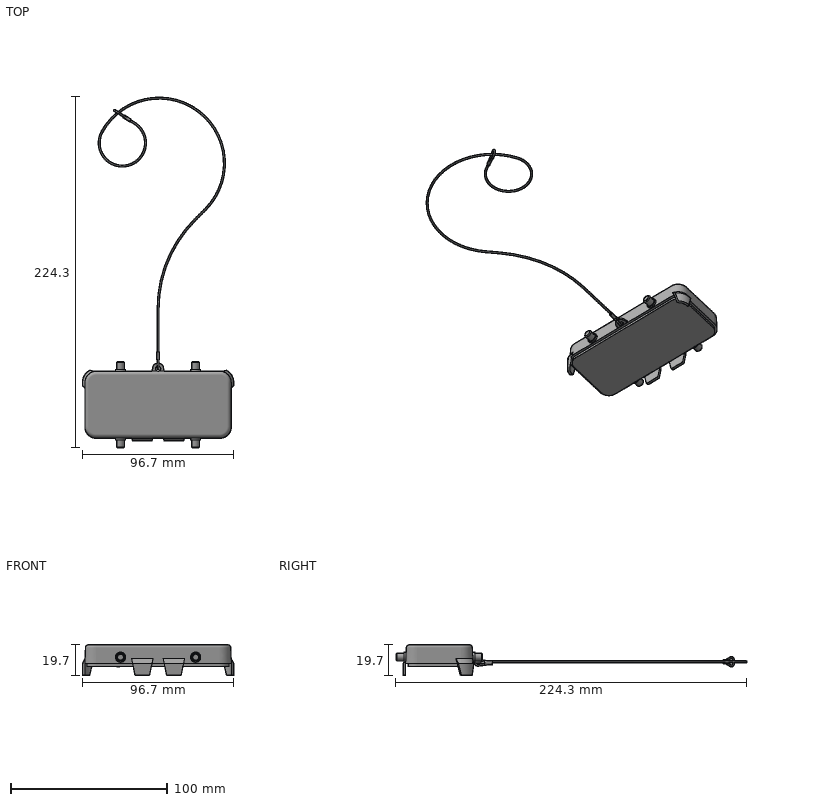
import cadquery as cq
import math


cover_length = 93.7
cover_width = 43.0
corner_radius = 7.5
rim_height = 7.6
top_height = 19.7
draft_angle = 2.0
top_fillet = 2.2
plug_bottom = 5.5
plug_inset = 1.5

tab_thickness = 1.5
tab_top = 10.8
front_tab_widths = (13.7, 9.5)
corner_tab_widths = (12.3, 7.6)
tab_tip_round = 1.0
front_tab_x = 10.0
corner_tab_x = 46.2
corner_tab_y = 17.3
corner_tab_turn = 62.0

pin_x = 24.0
pin_z = 11.7
pin_diameter = 5.2
pin_reach = 27.5
pin_chamfer = 0.7
collar_diameter = 6.5
collar_reach = 22.7

lug_top = 9.2
lug_thickness = 1.3
lug_hole_y = 23.0
lug_radius = 3.5
lug_base_width = 8.7
lug_hole_diameter = 3.1

cable_diameter = 1.3
cable_height = 8.7
strand_offset = 0.7
ferrule_width = 2.0
ferrule_height = 2.7
ferrule_length = 5.0
ferrule_gap = 4.3
lug_eye_radius = 1.5
lug_eye_y = 24.7
far_eye_radius = 2.7
far_eye_angle = 129.0

total_length = 224.3
ease_radius = 80.3
run_angle = 45.0
bend_radius = 41.7
bend_x = 0.7
loop_radius = 14.8
loop_start_angle = 151.0
bend_y = total_length - pin_reach - cable_diameter / 2 - bend_radius


def rounded_block(offset, bottom, height, taper=0.0):
    """Block following the cover's outline, grown by offset."""
    return (
        cq.Workplane("XY", origin=(0, 0, bottom))
        .sketch()
        .rect(cover_length + 2 * offset, cover_width + 2 * offset)
        .vertices()
        .fillet(corner_radius + offset)
        .finalize()
        .extrude(height, taper=taper)
    )


def make_cover():
    shell = rounded_block(0, rim_height, top_height - rim_height, draft_angle)
    shell = shell.faces(">Z").edges().fillet(top_fillet)
    plug = rounded_block(-plug_inset, plug_bottom, rim_height - plug_bottom)
    return shell.union(plug)


def tab_blank(x, y, turn, widths):
    """Upright trapezoid, extruded through the wall; turn is the direction of its width about Z."""
    plane = cq.Plane(
        origin=(x, y, 0),
        xDir=(math.cos(math.radians(turn)), math.sin(math.radians(turn)), 0),
        normal=(math.sin(math.radians(turn)), -math.cos(math.radians(turn)), 0),
    )
    half_top, half_tip = (width / 2 for width in widths)
    blank = (
        cq.Workplane(plane)
        .polyline([(-half_tip, 0), (half_tip, 0), (half_top, tab_top), (-half_top, tab_top)])
        .close()
        .extrude(corner_radius, both=True)
    )
    tip_corners = blank.faces("<Z").edges(cq.selectors.ParallelDirSelector(plane.zDir))
    return tip_corners.fillet(tab_tip_round)


def make_tabs():
    """Parts of a skirt around the cover; its upper edge slopes back into the wall."""
    slope_height = tab_top - rim_height
    wall_draft = slope_height * math.tan(math.radians(draft_angle))
    slope_angle = math.degrees(math.atan2(tab_thickness + wall_draft, slope_height))
    skirt = rounded_block(tab_thickness, 0, rim_height).cut(rounded_block(0, 0, rim_height))
    skirt = skirt.union(rounded_block(tab_thickness, rim_height, slope_height, slope_angle))
    blanks = cq.Workplane("XY")
    for side in (-1, 1):
        blanks = blanks.union(tab_blank(side * front_tab_x, -cover_width / 2, 0, front_tab_widths))
        blanks = blanks.union(
            tab_blank(side * corner_tab_x, corner_tab_y, -side * corner_tab_turn, corner_tab_widths)
        )
    return skirt.intersect(blanks)


def make_pin_pair(x):
    """Front and back latch pins with their collars, on one axis through the cover."""
    axis = cq.Workplane("XZ", origin=(x, 0, pin_z))
    pins = axis.circle(pin_diameter / 2).extrude(pin_reach, both=True).faces("<Y or >Y").chamfer(pin_chamfer)
    collars = axis.circle(collar_diameter / 2).extrude(collar_reach, both=True)
    return pins.union(collars)


def make_lug():
    root_y = cover_width / 2 - plug_inset
    lug = (
        cq.Workplane("XY", origin=(0, 0, lug_top - lug_thickness))
        .moveTo(-lug_base_width / 2, root_y)
        .lineTo(lug_base_width / 2, root_y)
        .lineTo(lug_radius, lug_hole_y)
        .threePointArc((0, lug_hole_y + lug_radius), (-lug_radius, lug_hole_y))
        .close()
        .extrude(lug_thickness)
    )
    hole = (
        cq.Workplane("XY", origin=(0, lug_hole_y, 0))
        .circle(lug_hole_diameter / 2)
        .extrude(lug_top)
    )
    return lug, hole


def on_circle(center, radius, angle):
    return (
        center[0] + radius * math.cos(math.radians(angle)),
        center[1] + radius * math.sin(math.radians(angle)),
    )


def tangent_angle(center, radius, point, side):
    """Angle on the circle where a tangent from the point touches it; side is +1 or -1."""
    dx = point[0] - center[0]
    dy = point[1] - center[1]
    return math.degrees(math.atan2(dy, dx) + side * math.acos(radius / math.hypot(dx, dy)))


def make_cable():
    bend_center = (bend_x, bend_y)
    loop_center = on_circle(bend_center, bend_radius - loop_radius, loop_start_angle)
    far_eye = on_circle(bend_center, bend_radius, far_eye_angle)

    run_end = on_circle(bend_center, bend_radius, -run_angle)
    ease_end_x = ease_radius * (1 - math.cos(math.radians(run_angle)))
    ease_end = (ease_end_x, run_end[1] - (run_end[0] - ease_end_x) * math.tan(math.radians(run_angle)))
    ease_center = (ease_radius, ease_end[1] - ease_radius * math.sin(math.radians(run_angle)))
    ease_start = (0, ease_center[1])
    ease_middle = on_circle(ease_center, ease_radius, 180 - run_angle / 2)

    bend_middle = on_circle(bend_center, bend_radius, (loop_start_angle - run_angle) / 2)
    loop_start = on_circle(bend_center, bend_radius, loop_start_angle)
    loop_end_angle = tangent_angle(loop_center, loop_radius, far_eye, -1) + 360
    loop_middle = on_circle(loop_center, loop_radius, (loop_start_angle + loop_end_angle) / 2)
    loop_end = on_circle(loop_center, loop_radius, loop_end_angle)

    end_distance = ferrule_gap + ferrule_length / 2
    cable_start = (0, lug_eye_y + end_distance)
    tail_x = loop_end[0] - far_eye[0]
    tail_y = loop_end[1] - far_eye[1]
    tail_length = math.hypot(tail_x, tail_y)
    tail_direction = (tail_x / tail_length, tail_y / tail_length)
    cable_end = (far_eye[0] + tail_direction[0] * end_distance, far_eye[1] + tail_direction[1] * end_distance)

    path = (
        cq.Workplane("XY", origin=(0, 0, cable_height))
        .moveTo(*cable_start)
        .lineTo(*ease_start)
        .threePointArc(ease_middle, ease_end)
        .lineTo(*run_end)
        .threePointArc(bend_middle, loop_start)
        .threePointArc(loop_middle, loop_end)
        .lineTo(*cable_end)
    )
    cable = (
        cq.Workplane("XZ", origin=(*cable_start, cable_height))
        .circle(cable_diameter / 2)
        .sweep(path)
    )
    lug_eye = make_eye((0, lug_eye_y, cable_height - strand_offset), (0, 1), lug_eye_radius)
    tail_eye = make_eye((*far_eye, cable_height), tail_direction, far_eye_radius)
    return cable.union(lug_eye).union(tail_eye)


def make_eye(center, direction, radius):
    """Upright teardrop of cable closed by a ferrule; direction points from the eye to the ferrule."""
    upright = cq.Plane(origin=center, xDir=(*direction, 0), normal=(direction[1], -direction[0], 0))
    strand_end = (ferrule_gap + ferrule_length / 2, strand_offset)
    touch = on_circle((0, 0), radius, tangent_angle((0, 0), radius, strand_end, 1))
    path = (
        cq.Workplane(upright)
        .moveTo(*strand_end)
        .lineTo(*touch)
        .threePointArc((-radius, 0), (touch[0], -touch[1]))
        .lineTo(strand_end[0], -strand_end[1])
    )
    across = cq.Plane(origin=center, xDir=(direction[1], -direction[0], 0), normal=(*direction, 0))
    strand = (
        cq.Workplane(across)
        .workplane(offset=strand_end[0])
        .center(0, strand_offset)
        .circle(cable_diameter / 2)
        .sweep(path)
    )
    ferrule = (
        cq.Workplane(across)
        .workplane(offset=ferrule_gap)
        .ellipse(ferrule_width / 2, ferrule_height / 2)
        .extrude(ferrule_length)
    )
    return strand.union(ferrule)


lug, lug_hole = make_lug()
result = make_cover().union(make_tabs())
for pin_side in (-1, 1):
    result = result.union(make_pin_pair(pin_side * pin_x))
result = result.union(lug).cut(lug_hole).union(make_cable())